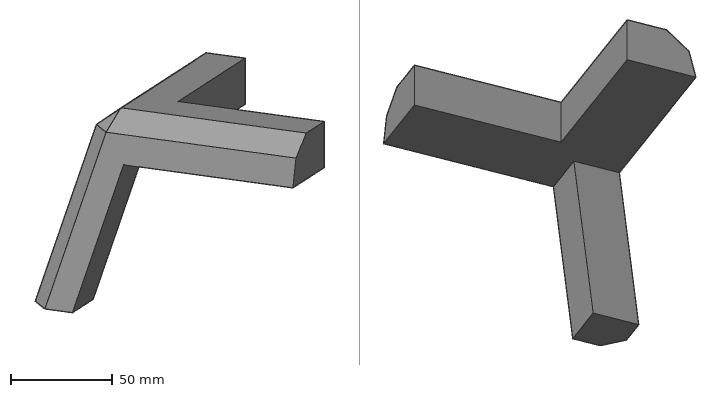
import cadquery as cq

overall_size = 135.8
overall_height = 97.5
leg_lean = 25.3
arm_thickness = 23.9
arm_width = 31.1
leg_width = 24.7
bevel_side = 9.8
bevel_drop = 9.5

arm_end = overall_size - leg_lean
lean_per_height = leg_lean / overall_height
tool_margin = 6.8


def outer_corner(depth):
    """X (and equal Y) of the sharp leg edge at a depth below the top."""
    return -lean_per_height * depth


def flat_faced_solid(outlines):
    """Solid enclosed by planar polygons, each given as a list of corner points."""
    faces = []
    for outline in outlines:
        corners = [cq.Vector(*point) for point in outline]
        faces.append(cq.Face.makeFromWires(cq.Wire.makePolygon(corners, close=True)))
    solid = cq.Solid.makeSolid(cq.Shell.makeShell(faces))
    return cq.Workplane(solid.fix())


def join_levels(top_points, bottom_points, top_depth, bottom_depth):
    """Flat-sided solid between two horizontal polygons with parallel sides."""
    top = [(x, y, -top_depth) for x, y in top_points]
    bottom = [(x, y, -bottom_depth) for x, y in bottom_points]
    outlines = [top, bottom]
    for i in range(len(top)):
        outlines.append([top[i - 1], top[i], bottom[i], bottom[i - 1]])
    return flat_faced_solid(outlines)


def square(low, high):
    return [(low, low), (high, low), (high, high), (low, high)]


def horizontal_arms():
    """L-shaped pair of arms with leaning outer faces and upright inner walls."""
    plate = join_levels(
        square(0, arm_end), square(outer_corner(arm_thickness), arm_end), 0, arm_thickness
    )
    notch = (
        cq.Workplane("XY").polyline(square(arm_width, arm_end + tool_margin)).close()
        .extrude(-arm_thickness)
    )
    return plate.cut(notch)


def leaning_leg():
    """Square leg that leans equally towards -X and -Y."""
    foot = outer_corner(overall_height)
    return join_levels(square(0, leg_width), square(foot, foot + leg_width), 0, overall_height)


def arm_bevel():
    """Cutter for the sharp outer edge of the X arm, its own corner clear of the part."""
    section = [(-tool_margin, tool_margin), (bevel_side, 0), (outer_corner(bevel_drop), -bevel_drop)]
    length = arm_end + leg_lean + 2 * tool_margin
    return (
        cq.Workplane("YZ", origin=(-leg_lean - tool_margin, 0, 0))
        .polyline(section).close().extrude(length)
    )


def leg_bevel():
    """Cutter for the sharp outer edge of the leg."""
    def section(depth):
        corner = outer_corner(depth)
        clear = corner - tool_margin
        return [(clear, clear), (corner + bevel_side, corner), (corner, corner + bevel_side)]

    top_depth = -tool_margin
    bottom_depth = overall_height + tool_margin
    return join_levels(section(top_depth), section(bottom_depth), top_depth, bottom_depth)


def corner_facet():
    """Tetrahedral cutter for the triangular facet joining the three bevels."""
    reach = 2 * bevel_side
    depth = 2 * bevel_drop
    low = outer_corner(depth)
    points = [(0, 0, 0), (reach, 0, 0), (0, reach, 0), (low, low, -depth)]
    return flat_faced_solid(
        [[point for point in points if point != skipped] for skipped in points]
    )


x_arm_bevel = arm_bevel()
y_arm_bevel = x_arm_bevel.mirror("YZ").rotate((0, 0, 0), (0, 0, 1), -90)

result = horizontal_arms().union(leaning_leg())
for cutter in (x_arm_bevel, y_arm_bevel, leg_bevel(), corner_facet()):
    result = result.cut(cutter)
result = result.clean()